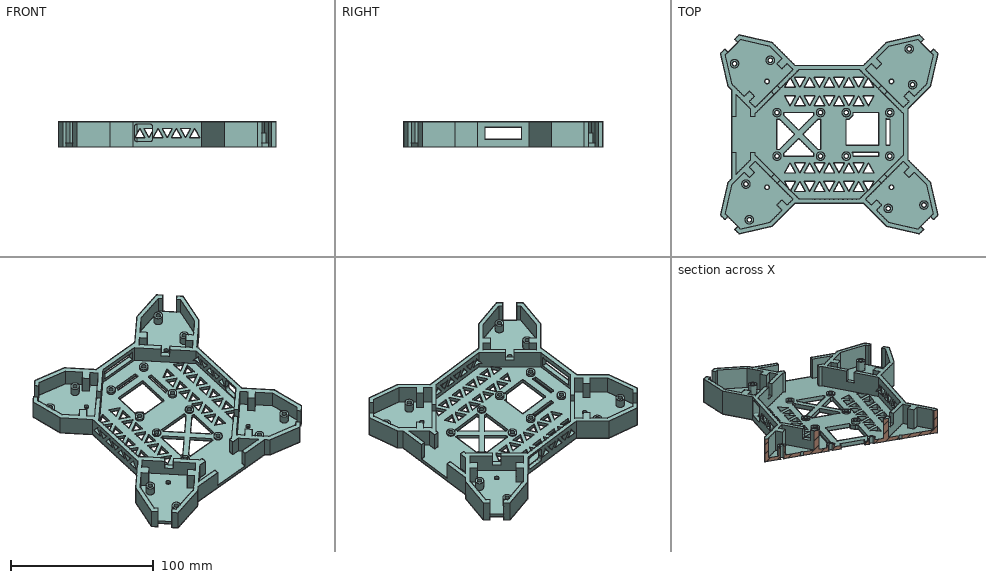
import cadquery as cq
import math

length = 152.4
width = 139.4
height = 18.0
floor = 3.0
wall = 3.0

body_half_x = 55.2
body_half_y = 48.3
side_wall = 3.4
left_wall_x = -68.3
left_opening = 25.3

arm_angles = (45, 135, 225, 315)
port_arm_angle = 225
arm_origin_x = (length - width) / 2
arm_root = 42.4
arm_shoulder = 69.3
arm_tip = 89.3
arm_half_width = 21.8
arm_tip_half_width = 9.3
tip_gap = 9.6
wire_notch_width = 6.0
wire_notch_bottom = 10.0
port_side_notch_bottom = 8.8
rib_u = 53.8
rib_width = 5.0
rib_length = 5.2
arm_hole_u = 52.4

post_diameter = 6.0
hole_diameter = 3.0
motor_post_top = 10.0
motor_posts = [(77.3, 7.3), (61.3, -12.0)]
cross_post_top = 4.1
window_post_top = 5.0
stack_spacing = 30.5
stack_half = stack_spacing / 2
cross_stack_x = -21.3
window_stack_x = 27.1

post_pad_diameter = 10.4
post_pad_sides = 8
cross_bar = 4.1
square_window = 22.7
slot_gap = 5.2
tall_slot_width = 2.7

floor_tri_pitch = 6.9
floor_tri_base = 7.5
floor_tri_height = 6.9
floor_triangle_count = 9
floor_row_y = [23.5, 36.4]
wall_tri_pitch = 6.4
wall_tri_base = 6.9
wall_tri_height = 6.2
wall_tri_z = 9.9
wall_triangle_count = 7
triangles_replaced_by_port = 2

port_x = -16.6
port_z = 10.0
port_width = 12.5
port_height = 12.2
port_radius = 1.5
port_depth = 6.1
window_width = 25.6
window_bottom = 5.6
window_top = 13.9


def prism(points, bottom, top):
    return cq.Workplane("XY").workplane(offset=bottom).polyline(points).close().extrude(top - bottom)


def box(x0, x1, y0, y1, z0, z1):
    return cq.Workplane("XY").box(x1 - x0, y1 - y0, z1 - z0, centered=False).translate((x0, y0, z0))


def cylinders(points, diameter, bottom, top):
    return (cq.Workplane("XY").workplane(offset=bottom).pushPoints(points)
            .circle(diameter / 2).extrude(top - bottom))


def body_outline(half_x, half_y, root):
    """Octagon whose diagonal sides lie at distance root from the arm origins."""
    diagonal = root * math.sqrt(2) + arm_origin_x
    quarter = [(half_x, diagonal - half_x), (diagonal - half_y, half_y)]
    right = [(x, -y) for x, y in reversed(quarter)] + quarter
    return right + [(-x, -y) for x, y in right]


def triangle(center, middle, base, tall, upright):
    """Isosceles outline with its tip up, or down when not upright."""
    tip = tall / 2 if upright else -tall / 2
    return [(center - base / 2, middle - tip), (center + base / 2, middle - tip), (center, middle + tip)]


def triangle_row(count, middle, pitch, base, tall, ends_upright):
    """Outlines of one row of triangles that point up and down in turn."""
    return [
        triangle((i - (count - 1) / 2) * pitch, middle, base, tall, (i % 2 == 0) == ends_upright)
        for i in range(count)
    ]


def arm_outline():
    """Straight-sided arm that narrows from its shoulders to its tip."""
    half_outline = [
        (arm_root, arm_half_width),
        (arm_shoulder, arm_half_width),
        (arm_tip, arm_tip_half_width),
    ]
    return half_outline + [(u, -v) for u, v in reversed(half_outline)]


def make_arm(notch_bottom):
    """One arm along +X with its origin at the arm origin."""
    outline = arm_outline()
    pocket = (cq.Workplane("XY").workplane(offset=floor).polyline(outline).close()
              .offset2D(-wall).extrude(height))
    arm = prism(outline, 0, height).cut(pocket)
    arm = arm.cut(box(arm_tip - wall, arm_tip, -tip_gap / 2, tip_gap / 2, 0, height))
    notch_half = wire_notch_width / 2
    arm = arm.cut(box(arm_root, arm_root + wall, -notch_half, notch_half, notch_bottom, height))
    rib_outer = arm_half_width - wall / 2
    rib_inner = arm_half_width - wall - rib_length
    rib = box(rib_u - rib_width / 2, rib_u + rib_width / 2, rib_inner, rib_outer, 0, height)
    arm = arm.union(rib).union(rib.mirror("XZ"))
    arm = arm.union(cylinders(motor_posts, post_diameter, 0, motor_post_top))
    return arm.cut(cylinders(motor_posts + [(arm_hole_u, 0)], hole_diameter, 0, height))


def make_body():
    """Octagonal tray with an open-ended extension on its -X side."""
    outer = body_outline(body_half_x, body_half_y, arm_root + 2 * wall)
    inner = body_outline(body_half_x - side_wall, body_half_y - wall, arm_root)
    body = prism(outer, 0, height).cut(prism(inner, floor, height))

    arm_side = arm_half_width * math.sqrt(2) + arm_origin_x

    def left_extension(x, bottom):
        points = [(x, -x - arm_side), (-body_half_x, body_half_x - arm_side)]
        return prism(points + [(px, -py) for px, py in reversed(points)], bottom, height)

    extension = left_extension(left_wall_x, 0).cut(left_extension(left_wall_x + wall, floor))
    body = body.union(extension)
    opening_half = left_opening / 2
    opening_end = -body_half_x + side_wall
    return body.cut(box(left_wall_x, opening_end, -opening_half, opening_half, floor, height))


def stack_points(center_x):
    return [(center_x + sx * stack_half, sy * stack_half) for sx in (-1, 1) for sy in (-1, 1)]


def post_pads(posts):
    """Octagonal floor areas kept solid around the stack posts."""
    pad = cq.Workplane("XY").polygon(post_pad_sides, post_pad_diameter).extrude(floor)
    pad = pad.rotate((0, 0, 0), (0, 0, 1), 180 / post_pad_sides)
    pads = cq.Workplane("XY")
    for x, y in posts:
        pads = pads.add(pad.translate((x, y, 0)))
    return pads.combine()


def cross_opening():
    """Square opening crossed by two diagonal bars."""
    opening = cq.Workplane("XY").box(stack_spacing, stack_spacing, 2 * floor)
    for angle in (45, -45):
        bar = cq.Workplane("XY").box(2 * stack_spacing, cross_bar, 2 * floor)
        opening = opening.cut(bar.rotate((0, 0, 0), (0, 0, 1), angle))
    return opening.translate((cross_stack_x, 0, 0))


def window_openings():
    """Square window in one corner of the stack area, with a slot along two of its sides."""
    left = window_stack_x - stack_half
    right = left + square_window
    top = stack_half
    bottom = top - square_window
    square = box(left, right, bottom, top, 0, floor)
    tall_slot_left = right + slot_gap
    tall_slot = box(tall_slot_left, tall_slot_left + tall_slot_width, bottom, top, 0, floor)
    low_slot = box(left, right, -stack_half, bottom - slot_gap, 0, floor)
    return square.union(tall_slot).union(low_slot)


def floor_triangles():
    """Outlines of the four triangle rows, mirrored about the X axis."""
    outlines = []
    for y, upright in zip(floor_row_y, (False, True)):
        for side in (1, -1):
            outlines += triangle_row(
                floor_triangle_count, side * y, floor_tri_pitch, floor_tri_base, floor_tri_height,
                upright == (side == 1),
            )
    return outlines


def place_arm(shape, angle):
    """Turn an arm to its angle and move it to the arm origin on its own side of the body."""
    origin_x = math.copysign(arm_origin_x, math.cos(math.radians(angle)))
    return shape.rotate((0, 0, 0), (0, 0, 1), angle).translate((origin_x, 0, 0))


arm_space = prism(arm_outline(), 0, height)
result = make_body()
for angle in arm_angles:
    notch_bottom = port_side_notch_bottom if angle == port_arm_angle else wire_notch_bottom
    arm = make_arm(notch_bottom)
    result = result.cut(place_arm(arm_space, angle)).union(place_arm(arm, angle))

stack_posts = stack_points(cross_stack_x) + stack_points(window_stack_x)
result = result.cut(cross_opening().union(window_openings()).cut(post_pads(stack_posts)))
for outline in floor_triangles():
    result = result.cut(prism(outline, 0, floor))
result = result.union(cylinders(stack_points(cross_stack_x), post_diameter, 0, cross_post_top))
result = result.union(cylinders(stack_points(window_stack_x), post_diameter, 0, window_post_top))
result = result.cut(cylinders(stack_posts, hole_diameter, 0, height))

wall_triangles = triangle_row(
    wall_triangle_count, wall_tri_z, wall_tri_pitch, wall_tri_base, wall_tri_height, True
)
for index, outline in enumerate(wall_triangles):
    cutter = cq.Workplane("XZ").polyline(outline).close().extrude(-body_half_y)
    result = result.cut(cutter)
    if index >= triangles_replaced_by_port:
        result = result.cut(cutter.mirror("XZ"))

port = (cq.Workplane("XY").box(port_width, 2 * port_depth, port_height)
        .edges("|Y").fillet(port_radius).translate((port_x, -body_half_y, port_z)))
result = result.cut(port)

half_window = window_width / 2
result = result.cut(
    box(body_half_x - side_wall, body_half_x, -half_window, half_window, window_bottom, window_top)
)